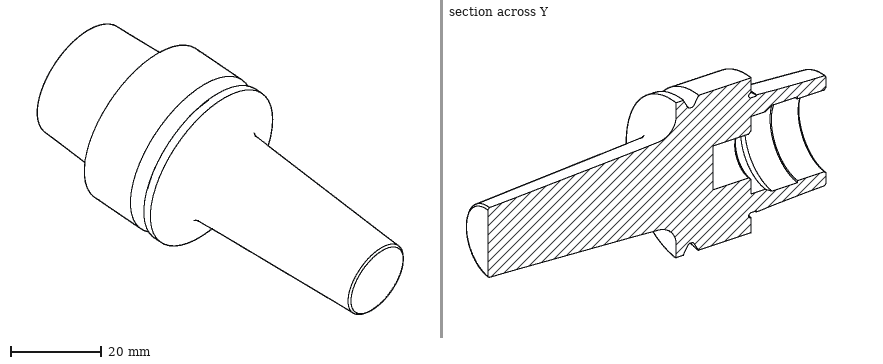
import cadquery as cq
import math

LENGTH = 90.0

END_FACE_RADIUS = 13.5
END_ROUND = 0.7
TAPER_SLOPE = 1 / 20
TAPER_END_X = 18.0
SHOULDER_END_X = 18.5
NECK_RADIUS = 14.85

FLANGE_START_X = 20.0
FLANGE_END_X = 40.0
FLANGE_RADIUS = 20.0
FACE_GROOVE_RADIUS = 16.0
V_START_X = 33.9
V_END_X = 38.0
V_FLOOR_RADIUS = 17.5
V_WALL_ANGLE = math.radians(30)
V_ROUND = 0.45
V_CLEARANCE = 0.9

NOSE_FILLET = 4.95
NOSE_ANGLE = math.radians(3)
TIP_RADIUS = 9.0
TIP_CHAMFER = 0.45

MOUTH_RADIUS = 11.0
BORE_RADIUS = 10.4
MOUTH_CHAMFER = MOUTH_RADIUS - BORE_RADIUS
LIP_X = 7.65
UNDERCUT_RADIUS = 11.0
UNDERCUT_END_X = 14.4
INNER_RADIUS = 9.9
INNER_START_X = 16.2
INNER_END_X = 20.0
PILOT_MOUTH_RADIUS = 6.2
PILOT_RADIUS = 5.6
PILOT_END_X = 30.0

AXIS_START = (0, 0, 0)
AXIS_END = (1, 0, 0)


def revolve(profile):
    """Close a half profile (x, radius) and turn it about the X axis."""
    return profile.close().revolve(360, AXIS_START, AXIS_END)


def make_shank():
    taper_start_radius = END_FACE_RADIUS + END_ROUND
    taper_end_radius = taper_start_radius + TAPER_SLOPE * (TAPER_END_X - END_ROUND)
    return revolve(
        cq.Workplane("XY")
        .lineTo(0, END_FACE_RADIUS)
        .radiusArc((END_ROUND, taper_start_radius), END_ROUND)
        .lineTo(TAPER_END_X, taper_end_radius)
        .lineTo(SHOULDER_END_X, taper_end_radius)
        .lineTo(SHOULDER_END_X, NECK_RADIUS)
        .lineTo(FLANGE_END_X, NECK_RADIUS)
        .lineTo(FLANGE_END_X, 0)
    )


def make_flange():
    return revolve(
        cq.Workplane("XY")
        .moveTo(FLANGE_START_X, 0)
        .lineTo(FLANGE_START_X, FLANGE_RADIUS)
        .lineTo(FLANGE_END_X, FLANGE_RADIUS)
        .lineTo(FLANGE_END_X, 0)
    )


def make_nose():
    """Cone that flares into the flange face through a tangent fillet."""
    sine = math.sin(NOSE_ANGLE)
    cosine = math.cos(NOSE_ANGLE)
    center_x = FLANGE_END_X + NOSE_FILLET
    tangent_x = center_x - NOSE_FILLET * sine
    tangent_radius = TIP_RADIUS + (LENGTH - tangent_x) * math.tan(NOSE_ANGLE)
    center_radius = tangent_radius + NOSE_FILLET * cosine
    middle_angle = (math.pi / 2 - NOSE_ANGLE) / 2
    middle = (
        center_x - NOSE_FILLET * math.cos(middle_angle),
        center_radius - NOSE_FILLET * math.sin(middle_angle),
    )
    nose = revolve(
        cq.Workplane("XY")
        .moveTo(FLANGE_END_X, 0)
        .lineTo(FLANGE_END_X, center_radius)
        .threePointArc(middle, (tangent_x, tangent_radius))
        .lineTo(LENGTH, TIP_RADIUS)
        .lineTo(LENGTH, 0)
    )
    return nose.faces(">X").chamfer(TIP_CHAMFER)


def make_v_groove():
    wall_width = (FLANGE_RADIUS - V_FLOOR_RADIUS) * math.tan(V_WALL_ANGLE)
    groove = revolve(
        cq.Workplane("XY")
        .moveTo(V_START_X, FLANGE_RADIUS)
        .lineTo(V_START_X + wall_width, V_FLOOR_RADIUS)
        .lineTo(V_END_X - wall_width, V_FLOOR_RADIUS)
        .lineTo(V_END_X, FLANGE_RADIUS)
        .lineTo(V_END_X, FLANGE_RADIUS + V_CLEARANCE)
        .lineTo(V_START_X, FLANGE_RADIUS + V_CLEARANCE)
    )
    floor_edges = groove.edges(cq.selectors.RadiusNthSelector(0))
    return floor_edges.fillet(V_ROUND)


def make_face_groove():
    """Round-bottomed relief in the flange face around the neck."""
    depth = (FACE_GROOVE_RADIUS - NECK_RADIUS) / 2
    return revolve(
        cq.Workplane("XY")
        .moveTo(FLANGE_START_X, NECK_RADIUS)
        .threePointArc(
            (FLANGE_START_X + depth, NECK_RADIUS + depth),
            (FLANGE_START_X, FACE_GROOVE_RADIUS),
        )
    )


def make_bore():
    pilot_chamfer = PILOT_MOUTH_RADIUS - PILOT_RADIUS
    return revolve(
        cq.Workplane("XY")
        .lineTo(0, MOUTH_RADIUS)
        .lineTo(MOUTH_CHAMFER, BORE_RADIUS)
        .lineTo(LIP_X, BORE_RADIUS)
        .lineTo(LIP_X, UNDERCUT_RADIUS)
        .lineTo(UNDERCUT_END_X, UNDERCUT_RADIUS)
        .lineTo(INNER_START_X, INNER_RADIUS)
        .lineTo(INNER_END_X, INNER_RADIUS)
        .lineTo(INNER_END_X, PILOT_MOUTH_RADIUS)
        .lineTo(INNER_END_X + pilot_chamfer, PILOT_RADIUS)
        .lineTo(PILOT_END_X, PILOT_RADIUS)
        .lineTo(PILOT_END_X, 0)
    )


body = make_shank().union(make_flange()).union(make_nose())
result = body.cut(make_v_groove()).cut(make_face_groove()).cut(make_bore())